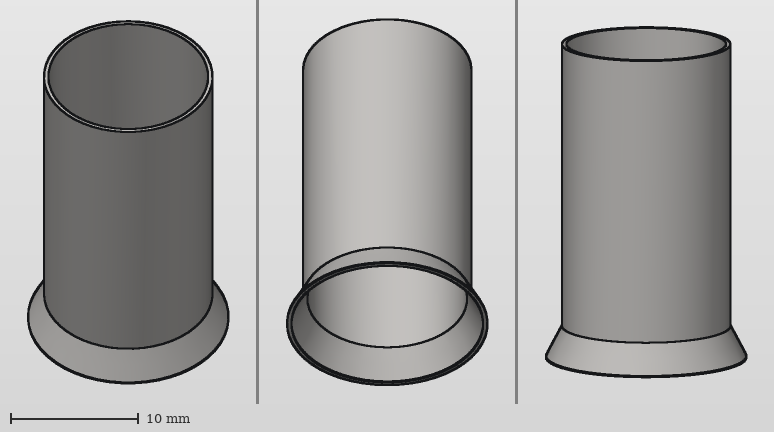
import cadquery as cq

total_height = 25.0
bore_diameter = 12.5
wall = 0.35
flare_height = 2.5
foot_diameter = 15.7
lip_height = 0.1

bore_radius = bore_diameter / 2
sleeve_radius = bore_radius + wall
foot_radius = foot_diameter / 2

half_profile = [
    (foot_radius - wall, 0),
    (foot_radius, 0),
    (foot_radius, lip_height),
    (sleeve_radius, flare_height),
    (sleeve_radius, total_height),
    (bore_radius, total_height),
    (bore_radius, flare_height),
    (foot_radius - wall, lip_height),
]

result = cq.Workplane("XZ").polyline(half_profile).close().revolve(360, (0, 0, 0), (0, 1, 0))